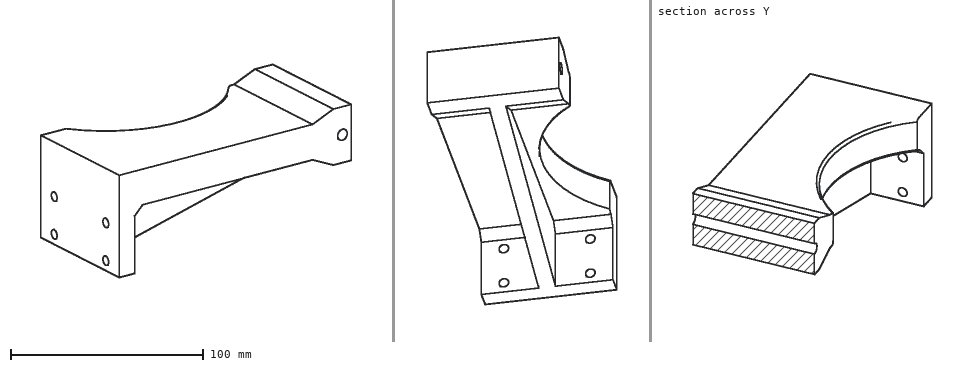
import cadquery as cq

width = 70.0
length = 148.7
height = 62.8

flange_thickness = 10.0
plate_thickness = 20.0
plate_top = 57.2
plate_bottom = plate_top - plate_thickness
flange_chamfer = 5.0
block_bottom = 31.4
block_flat_start = 137.3
block_slope_start = 123.9

rib_thickness = 8.9

relief_radius = 64.2
relief_depth = 25.5
relief_center_y = 69.0
relief_fillet = 1.5

pivot_diameter = 6.1
pivot_y = 143.0
pivot_z = (block_bottom + height) / 2
screw_diameter = 5.0
screw_edge_distance = 12.0
screw_heights = (5.7, 26.8)


def extrude_side_profile(points, x_start, thickness):
    """Extrude a closed (Y, Z) outline along +X from x_start."""
    return cq.Workplane("YZ", origin=(x_start, 0, 0)).polyline(points).close().extrude(thickness)


def make_body():
    outline = [
        (0, 0),
        (flange_thickness, 0),
        (flange_thickness, plate_bottom - flange_chamfer),
        (flange_thickness + flange_chamfer, plate_bottom),
        (block_slope_start, plate_bottom),
        (block_flat_start, block_bottom),
        (length, block_bottom),
        (length, height),
        (block_flat_start, height),
        (block_slope_start, plate_top),
        (0, plate_top),
    ]
    return extrude_side_profile(outline, 0, width)


def cut_relief(body):
    cutter = (
        cq.Workplane("XY")
        .center(relief_depth - relief_radius, relief_center_y)
        .circle(relief_radius)
        .extrude(height)
    )
    return body.cut(cutter).edges("%CIRCLE").fillet(relief_fillet)


def make_rib():
    plate_middle = plate_top - plate_thickness / 2
    outline = [
        (flange_thickness / 2, 0),
        (flange_thickness, 0),
        (block_flat_start, block_bottom),
        (block_flat_start, plate_middle),
        (flange_thickness / 2, plate_middle),
    ]
    return extrude_side_profile(outline, (width - rib_thickness) / 2, rib_thickness)


def make_pivot_hole():
    return cq.Workplane("YZ").center(pivot_y, pivot_z).circle(pivot_diameter / 2).extrude(width)


def make_screw_holes():
    positions = [
        (x, z)
        for x in (screw_edge_distance, width - screw_edge_distance)
        for z in screw_heights
    ]
    return cq.Workplane("XZ").pushPoints(positions).circle(screw_diameter / 2).extrude(-flange_thickness)


result = cut_relief(make_body()).union(make_rib())
result = result.cut(make_pivot_hole()).cut(make_screw_holes())